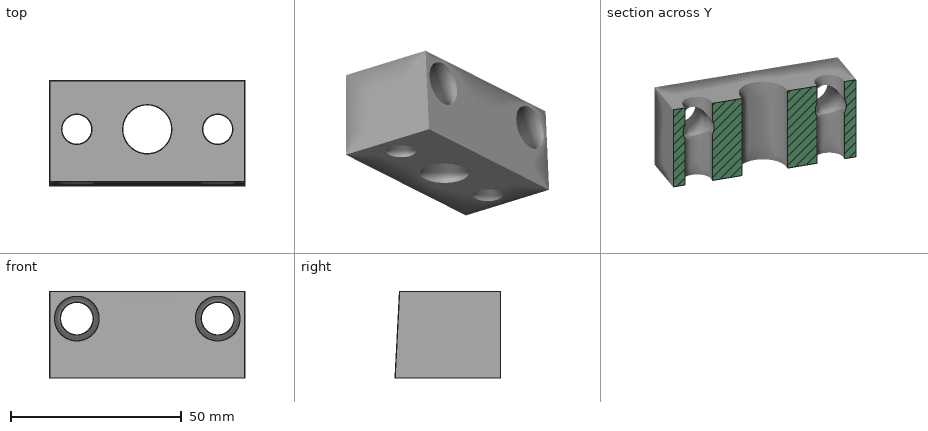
import cadquery as cq

length = 57.15
height = 25.4
base_depth = 30.9
top_depth = 29.6

hole_spacing = 41.25
hole_line_from_back = 14.3
centre_bore_diameter = 14.3
side_hole_diameter = 8.75

bolt_diameter = 9.55
counterbore_diameter = 13.1
counterbore_floor_from_back = 21.45
bolt_axis_below_top = 7.95

back_y = base_depth / 2
front_y = -base_depth / 2
hole_line_y = back_y - hole_line_from_back
bolt_z = height - bolt_axis_below_top
hole_xs = (-hole_spacing / 2, hole_spacing / 2)


def make_block():
    """Extrude the sloped side profile along X."""
    profile = [
        (front_y, 0),
        (back_y, 0),
        (back_y, height),
        (back_y - top_depth, height),
    ]
    return cq.Workplane("YZ").polyline(profile).close().extrude(length / 2, both=True)


def vertical_hole(x, diameter):
    """Cutter through the full height."""
    return cq.Workplane("XY").center(x, hole_line_y).circle(diameter / 2).extrude(height)


def horizontal_cutter(x, diameter, start_y):
    """Cutter from start_y forward through the front face."""
    plane = cq.Workplane("XZ", origin=(x, start_y, bolt_z))
    return plane.circle(diameter / 2).extrude(start_y - front_y)


result = make_block().cut(vertical_hole(0, centre_bore_diameter))
for hole_x in hole_xs:
    result = result.cut(vertical_hole(hole_x, side_hole_diameter))
    result = result.cut(horizontal_cutter(hole_x, bolt_diameter, back_y))
    counterbore_floor_y = back_y - counterbore_floor_from_back
    result = result.cut(horizontal_cutter(hole_x, counterbore_diameter, counterbore_floor_y))